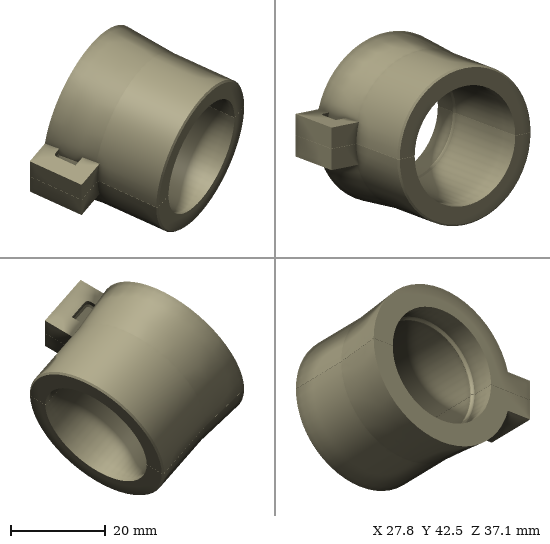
import cadquery as cq

length = 27.8
tube_radius = 17.5
mouth_radius = 18.55
flare_length = 12.18
end_chamfer = 0.4

entry_radius = 13.35
ridge_radius = 12.8
rear_bore_radius = 13.2
entry_depth = 5.55
ridge_land = 0.2

lug_length = 12.9
lug_reach = 24.0
lug_half_height = 4.7

pocket_start = 3.35
pocket_end = 8.85
pocket_reach = 19.92
pocket_depth = 1.58
pocket_corner_radius = 0.9
pocket_floor_bevel = 0.4

split_gap = 0.05


def make_body_of_revolution(profile):
    """Spin a profile of (X, radius) about the X axis."""
    return profile.revolve(360, (0, 0, 0), (1, 0, 0))


def make_outer_form():
    """Sleeve outside: conical flare running into the plain tube."""
    profile = (
        cq.Workplane("XY")
        .lineTo(length, 0)
        .lineTo(length, tube_radius - end_chamfer)
        .lineTo(length - end_chamfer, tube_radius)
        .lineTo(flare_length, tube_radius)
        .lineTo(0, mouth_radius)
        .close()
    )
    return make_body_of_revolution(profile)


def make_bore():
    """Stepped bore with 45 degree flanks on the retaining ridge."""
    ridge_start = entry_depth + entry_radius - ridge_radius
    ridge_end = ridge_start + ridge_land
    profile = (
        cq.Workplane("XY")
        .lineTo(0, entry_radius)
        .lineTo(entry_depth, entry_radius)
        .lineTo(ridge_start, ridge_radius)
        .lineTo(ridge_end, ridge_radius)
        .lineTo(ridge_end + rear_bore_radius - ridge_radius, rear_bore_radius)
        .lineTo(length, rear_bore_radius)
        .lineTo(length, 0)
        .close()
    )
    return make_body_of_revolution(profile)


def make_lug():
    """Block reaching from the sleeve axis out to the lug face."""
    return cq.Workplane("XY").box(
        lug_length, lug_reach, 2 * lug_half_height, centered=(False, False, True)
    ).translate((0, -lug_reach, 0))


def make_pocket():
    """Pocket with one rounded corner and a bevel round the front and outer floor edges."""
    pocket = (
        cq.Workplane("XY", origin=(0, 0, lug_half_height - pocket_depth))
        .moveTo(pocket_start, 0)
        .lineTo(pocket_start, -pocket_reach)
        .lineTo(pocket_end, -pocket_reach)
        .lineTo(pocket_end, 0)
        .close()
        .extrude(pocket_depth)
    )
    pocket = pocket.edges("|Z and <X and <Y").fillet(pocket_corner_radius)
    floor_edges = pocket.faces("<Z").edges("not(>X or >Y)")
    return floor_edges.chamfer(pocket_floor_bevel)


def make_half(side):
    """Half of the split clamp: side is +1 above the split, -1 below it."""
    keep = cq.Workplane("XY").box(
        length, 2 * lug_reach, lug_reach, centered=(False, True, False)
    ).translate((0, 0, split_gap / 2))
    if side < 0:
        keep = keep.mirror("XY")
    return outer_form.union(make_lug()).cut(make_bore()).intersect(keep)


outer_form = make_outer_form()
upper_half = make_half(1).cut(make_pocket().cut(outer_form))
lower_half = make_half(-1)

result = cq.Compound.makeCompound([upper_half.val(), lower_half.val()])